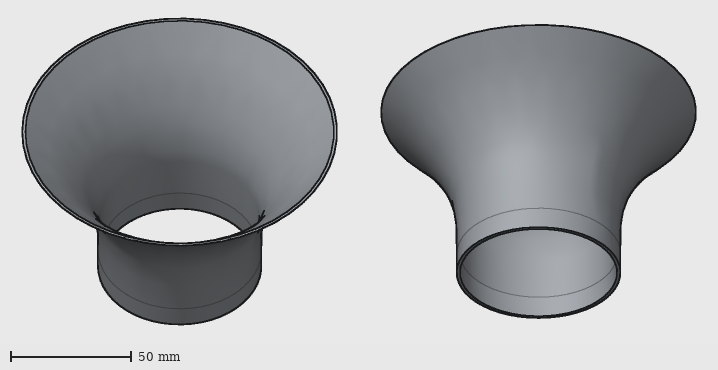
import cadquery as cq

height = 80.0
collar_height = 9.6
collar_diameter = 68.0
bore_diameter = 65.2
rim_diameter = 130.8

flare_start_reach = 21.2
flare_end_drop = 32.0
flare_end_inset = 32.8

collar_radius = collar_diameter / 2
rim_radius = rim_diameter / 2
wall = (collar_diameter - bore_diameter) / 2


def flare_points(inset):
    """Cubic Bezier control points of the flare, moved inward by inset."""
    return [
        (collar_radius - inset, collar_height),
        (collar_radius - inset, collar_height + flare_start_reach),
        (rim_radius - flare_end_inset - inset, height - flare_end_drop),
        (rim_radius - inset, height),
    ]


def horn():
    """Revolve the wall section: straight collar below, flared bell above."""
    outer_flare = flare_points(0)
    inner_flare = flare_points(wall)
    section = (
        cq.Workplane("XZ")
        .moveTo(collar_radius - wall, 0)
        .lineTo(collar_radius, 0)
        .lineTo(*outer_flare[0])
        .bezier(outer_flare)
        .lineTo(*inner_flare[-1])
        .bezier(inner_flare[::-1])
        .close()
    )
    return section.revolve(360, (0, 0, 0), (0, 1, 0))


result = horn()